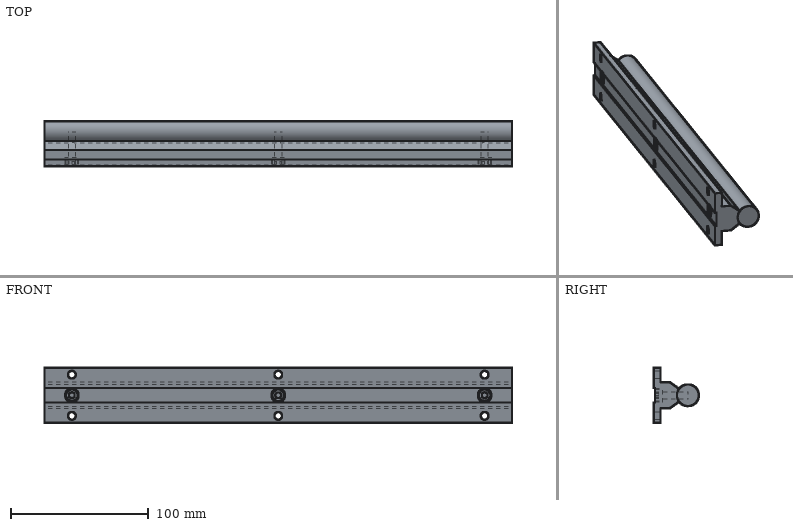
import cadquery as cq
import math

length = 340.0
shaft_diameter = 16.0
shaft_radius = shaft_diameter / 2
overall_depth = 33.0
shaft_axis_y = overall_depth - shaft_radius

plate_height = 40.0
plate_thickness = 5.0
support_width = 19.0
shoulder_y = 12.0
seat_width = 9.5
groove_width = 10.2
groove_depth = 1.0

station_pitch = 150.0
station_places = [-station_pitch, 0, station_pitch]
mounting_hole_diameter = 5.5
mounting_hole_spacing = 30.0

head_diameter = 8.5
counterbore_diameter = 10.0
head_height = 5.0
head_sink = 0.5
shank_diameter = 5.0
shank_end_y = shaft_axis_y
socket_sides = 6
socket_width = 4.0
socket_depth = 2.0
socket_turns = [0, 30, 0]
head_front_y = groove_depth + head_sink
head_back_y = head_front_y + head_height


def cylinder_along_y(diameter, start_y, end_y, x=0.0, z=0.0):
    """A cylinder parallel to Y between two Y positions."""
    start = cq.Vector(x, start_y, z)
    solid = cq.Solid.makeCylinder(diameter / 2, end_y - start_y, start, cq.Vector(0, 1, 0))
    return cq.Workplane(solid)


def make_shaft():
    """Round bar with a blind hole for each screw shank."""
    shaft = (
        cq.Workplane("YZ", origin=(-length / 2, 0, 0))
        .center(shaft_axis_y, 0)
        .circle(shaft_radius)
        .extrude(length)
    )
    for x in station_places:
        shaft = shaft.cut(cylinder_along_y(shank_diameter, head_back_y, shank_end_y, x))
    return shaft


def rail_blank():
    """Extruded rail section with a concave seat that matches the shaft."""
    plate_top = plate_height / 2
    support_half = support_width / 2
    seat_half = seat_width / 2
    groove_half = groove_width / 2
    seat_edge_y = shaft_axis_y - math.sqrt(shaft_radius**2 - seat_half**2)
    seat_bottom_y = shaft_axis_y - shaft_radius
    return (
        cq.Workplane("YZ", origin=(-length / 2, 0, 0))
        .moveTo(0, groove_half)
        .lineTo(0, plate_top)
        .lineTo(plate_thickness, plate_top)
        .lineTo(plate_thickness, support_half)
        .lineTo(shoulder_y, support_half)
        .lineTo(seat_edge_y, seat_half)
        .threePointArc((seat_bottom_y, 0), (seat_edge_y, -seat_half))
        .lineTo(shoulder_y, -support_half)
        .lineTo(plate_thickness, -support_half)
        .lineTo(plate_thickness, -plate_top)
        .lineTo(0, -plate_top)
        .lineTo(0, -groove_half)
        .lineTo(groove_depth, -groove_half)
        .lineTo(groove_depth, groove_half)
        .close()
        .extrude(length)
    )


def make_rail():
    """Rail with mounting holes in the plate and a counterbored screw hole at each station."""
    rail = rail_blank()
    for x in station_places:
        for z in (-mounting_hole_spacing / 2, mounting_hole_spacing / 2):
            rail = rail.cut(cylinder_along_y(mounting_hole_diameter, 0, plate_thickness, x, z))
        rail = rail.cut(cylinder_along_y(counterbore_diameter, 0, head_back_y, x))
        rail = rail.cut(cylinder_along_y(shank_diameter, head_back_y, shank_end_y, x))
    return rail


def make_screw(x, socket_turn):
    """Socket head screw pointing along +Y, its hexagon turned about its axis."""
    head = cylinder_along_y(head_diameter, head_front_y, head_back_y, x)
    shank = cylinder_along_y(shank_diameter, head_back_y, shank_end_y, x)
    socket = (
        cq.Workplane("XZ", origin=(x, head_front_y, 0))
        .transformed(rotate=(0, 0, socket_turn))
        .polygon(socket_sides, socket_width, circumscribed=True)
        .extrude(-socket_depth)
    )
    return head.union(shank).cut(socket)


shaft = make_shaft()
rail = make_rail()
screws = [make_screw(x, turn) for x, turn in zip(station_places, socket_turns)]

result = cq.Compound.makeCompound([shaft.val(), rail.val(), *[screw.val() for screw in screws]])